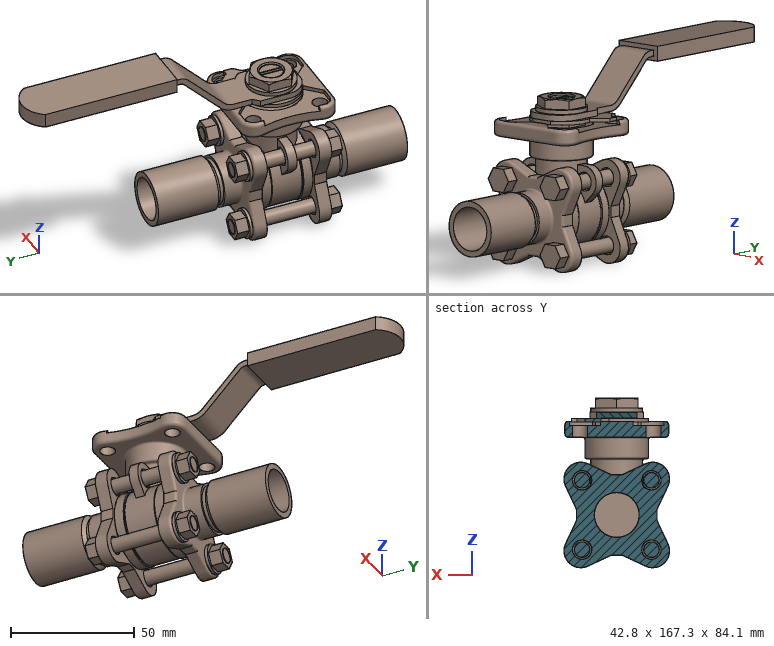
import cadquery as cq
import math


PIPE_HALF_LENGTH = 55.7
PIPE_DIAMETER = 23.0
PIPE_BORE = 18.0
PIPE_START = 28.8
GROOVE_DIAMETER = 19.5
GROOVE_START = 25.8
GROOVE_END = 27.3
HUB_DIAMETER = 21.7
HUB_FILLET = 0.8

FLANGE_INNER = 11.7
FLANGE_THICKNESS = 5.9
FLANGE_OUTER = FLANGE_INNER + FLANGE_THICKNESS
FLANGE_FILLET = 1.2
FLANGE_HALF_SIZE = 21.4
LUG_RADIUS = 6.9
LUG_OFFSET = FLANGE_HALF_SIZE - LUG_RADIUS
WAIST = 16.4
WAIST_HALF_WIDTH = 2.3

CORE_DIAMETER = 30.1
BARREL_DIAMETER = 31.1
BARREL_HALF_LENGTH = 6.7
SEAT_RING_START = 7.2
SEAT_RING_END = 11.2
SEAT_RING_DIAMETER = 31.8

BOLT_OFFSET = 14.0
BOLT_DIAMETER = 6.4
BOLT_HOLE = 7.7
HEX_CORNERS = 11.0
HEAD_HEIGHT = 5.2
WASHER_DIAMETER = 12.7
WASHER_THICKNESS = 1.3
BOLT_TIP = 0.3

EAR_THICKNESS = 4.0
EAR_RADIUS = 6.5
EAR_FOOT = (14.5, 5.4)

NECK_DIAMETER = 21.0
COLLAR_DIAMETER = 26.0
COLLAR_BOTTOM = 22.8
NECK_FILLET = 0.8
PLATE_BOTTOM = 31.5
PLATE_FLOOR = 36.3
PLATE_TOP = 38.0
PLATE_HALF_SIZE = 21.0
PLATE_CORNER_RADIUS = 6.2
PLATE_FILLET = 1.5
PLATE_HOLE = 6.4
PLATE_HOLE_OFFSET = PLATE_HALF_SIZE - PLATE_CORNER_RADIUS
SIDE_WAIST = 18.9
RECESS_DIAMETER = 25.8
RECESS_BOTTOM = PLATE_FLOOR - 0.5
RIM_INNER = 19.0
RIM_END = 12.4

BLOCK_INNER = 12.7
BLOCK_INNER_HALF_WIDTH = 3.5

STOP_BOTTOM = 37.6
STOP_FLAT = 12.0
STOP_ARM_REACH = 18.4
STOP_ARM_ROOT = 8.9
STOP_ARM_EDGE = 12.7
STOP_ARM_CHAMFER = 3.3

LEVER_BOTTOM = 39.1
LEVER_THICKNESS = 2.5
LEVER_TOP = LEVER_BOTTOM + LEVER_THICKNESS
LEVER_WIDTH = 16.5
LEVER_RISE = 19.2
LEVER_ANGLE = math.radians(45)
LEVER_BEND_START = 20.5
LOWER_BEND_RADIUS = 7.5
UPPER_BEND_RADIUS = 4.5
LEVER_END = 103.7
HUB_WIDTH = 21.7
HUB_TIP = 12.0
HUB_CORNER_RADIUS = 8.9
HUB_SHOULDER = 12.4
STEM_DIAMETER = 15.0

GRIP_START = 46.8
OVERALL_LENGTH = 167.3
GRIP_END = OVERALL_LENGTH - PIPE_HALF_LENGTH
GRIP_WIDTH = 20.7
GRIP_HEIGHT = 6.2
GRIP_TOP = 62.7
GRIP_TIP_RISE = 5.9

WASHER_TOP = 43.3
STEM_WASHER_DIAMETER = 21.0
NUT_FLATS = 17.2
NUT_CORNERS = NUT_FLATS / math.cos(math.radians(30))
NUT_TOP = 47.3
NUT_CONE_HEIGHT = 0.5
COUNTERSINK_DIAMETER = 11.0
COUNTERSINK_DEPTH = 0.8
STEM_TIP_DIAMETER = 9.9
STEM_TIP_TOP = NUT_TOP - 0.5
SLOT_WIDTH = 1.5
SLOT_DEPTH = 0.3


def y_cylinder(diameter, start, end, x=0, z=0):
    """Cylinder along Y from start to end, with its axis at x, z."""
    disc = cq.Workplane("XZ", origin=(x, start, z)).circle(diameter / 2)
    return disc.extrude(start - end)


def z_cylinder(diameter, bottom, top):
    return cq.Workplane("XY", origin=(0, 0, bottom)).circle(diameter / 2).extrude(top - bottom)


def z_cone(bottom_diameter, top_diameter, bottom, top):
    base = cq.Workplane("XY", origin=(0, 0, bottom)).circle(bottom_diameter / 2)
    return base.workplane(offset=top - bottom).circle(top_diameter / 2).loft()


def tangent_point(centre, radius, outside, side):
    """Point where a line from `outside` touches a circle; side is +1 or -1."""
    dx = outside[0] - centre[0]
    dy = outside[1] - centre[1]
    angle = math.atan2(dy, dx) + side * math.acos(radius / math.hypot(dx, dy))
    return centre[0] + radius * math.cos(angle), centre[1] + radius * math.sin(angle)


def mirrored_pair(make_feature):
    """A feature at -Y together with its mirror image at +Y."""
    feature = make_feature()
    return feature.union(feature.mirror("XZ"))


def flange_outline():
    """Four round lugs joined by straight flanks to four short waist flats."""
    waist = (WAIST, WAIST_HALF_WIDTH)
    lug = (LUG_OFFSET, LUG_OFFSET)
    low = tangent_point(lug, LUG_RADIUS, waist, 1)
    tip = LUG_OFFSET + LUG_RADIUS / math.sqrt(2)
    corner = [waist, low, (tip, tip), low[::-1], waist[::-1]]

    def turned(point, quarter):
        for _ in range(quarter):
            point = (-point[1], point[0])
        return point

    outline = cq.Workplane("XZ", origin=(0, -FLANGE_INNER, 0)).moveTo(WAIST, -WAIST_HALF_WIDTH)
    for quarter in range(4):
        start, arc_start, arc_middle, arc_end, finish = [turned(p, quarter) for p in corner]
        outline = outline.lineTo(*start).lineTo(*arc_start)
        outline = outline.threePointArc(arc_middle, arc_end).lineTo(*finish)
    return outline.close()


def pipe_end():
    """Flange, hub, groove and weld pipe at -Y."""
    flange = flange_outline().extrude(FLANGE_THICKNESS).faces("<Y").edges().fillet(FLANGE_FILLET)
    hub_radius = HUB_DIAMETER / 2
    groove_radius = GROOVE_DIAMETER / 2
    pipe_radius = PIPE_DIAMETER / 2
    run = (
        cq.Workplane("XY")
        .moveTo(0, -FLANGE_INNER)
        .lineTo(hub_radius + HUB_FILLET, -FLANGE_INNER)
        .lineTo(hub_radius + HUB_FILLET, -FLANGE_OUTER)
        .radiusArc((hub_radius, -FLANGE_OUTER - HUB_FILLET), -HUB_FILLET)
        .lineTo(hub_radius, -GROOVE_START)
        .lineTo(groove_radius, -GROOVE_START)
        .lineTo(groove_radius, -GROOVE_END)
        .lineTo(pipe_radius, -PIPE_START)
        .lineTo(pipe_radius, -PIPE_HALF_LENGTH)
        .lineTo(0, -PIPE_HALF_LENGTH)
        .close()
        .revolve(360, (0, 0, 0), (0, 1, 0))
    )
    end = flange.union(run).cut(y_cylinder(PIPE_BORE, -PIPE_HALF_LENGTH, -FLANGE_INNER))
    for x in (-BOLT_OFFSET, BOLT_OFFSET):
        for z in (-BOLT_OFFSET, BOLT_OFFSET):
            end = end.cut(y_cylinder(BOLT_HOLE, -FLANGE_OUTER, -FLANGE_INNER, x, z))
    return end


def barrel():
    """Core from flange to flange, thickened in the middle and by a seat ring near each end."""
    core = y_cylinder(CORE_DIAMETER, -FLANGE_INNER, FLANGE_INNER)
    bands = (
        (SEAT_RING_DIAMETER, -SEAT_RING_END, -SEAT_RING_START),
        (BARREL_DIAMETER, -BARREL_HALF_LENGTH, BARREL_HALF_LENGTH),
        (SEAT_RING_DIAMETER, SEAT_RING_START, SEAT_RING_END),
    )
    for diameter, start, end in bands:
        core = core.union(y_cylinder(diameter, start, end))
    return core


def ear():
    """Ear around the upper +X bolt: flat top running into the neck, 45 degree underside."""
    top = BOLT_OFFSET + EAR_RADIUS
    low = EAR_RADIUS / math.sqrt(2)
    return (
        cq.Workplane("XZ", origin=(0, EAR_THICKNESS / 2, 0))
        .lineTo(*EAR_FOOT)
        .lineTo(BOLT_OFFSET + low, BOLT_OFFSET - low)
        .threePointArc((BOLT_OFFSET + low, BOLT_OFFSET + low), (BOLT_OFFSET, top))
        .lineTo(0, top)
        .close()
        .extrude(EAR_THICKNESS)
        .cut(y_cylinder(BOLT_HOLE, -EAR_THICKNESS, EAR_THICKNESS, BOLT_OFFSET, BOLT_OFFSET))
    )


def bolt(x, z):
    """Bolt with its head at -Y and its washer and nut at +Y."""
    washer_end = FLANGE_OUTER + WASHER_THICKNESS
    nut_end = washer_end + HEAD_HEIGHT
    shank = y_cylinder(BOLT_DIAMETER, -FLANGE_OUTER, washer_end, x, z)
    washer = y_cylinder(WASHER_DIAMETER, FLANGE_OUTER, washer_end, x, z)
    tip = y_cylinder(BOLT_DIAMETER, nut_end, nut_end + BOLT_TIP, x, z)
    whole = shank.union(washer).union(tip)
    for base in (-FLANGE_OUTER, nut_end):
        hexagon = cq.Workplane("XZ", origin=(x, base, z)).polygon(6, HEX_CORNERS)
        whole = whole.union(hexagon.extrude(HEAD_HEIGHT))
    return whole


def neck():
    """Neck and collar carrying the mounting plate."""
    neck_radius = NECK_DIAMETER / 2
    collar_radius = COLLAR_DIAMETER / 2
    return (
        cq.Workplane("XZ")
        .lineTo(neck_radius, 0)
        .lineTo(neck_radius, COLLAR_BOTTOM - NECK_FILLET)
        .radiusArc((neck_radius + NECK_FILLET, COLLAR_BOTTOM), NECK_FILLET)
        .lineTo(collar_radius - NECK_FILLET, COLLAR_BOTTOM)
        .radiusArc((collar_radius, COLLAR_BOTTOM + NECK_FILLET), -NECK_FILLET)
        .lineTo(collar_radius, PLATE_BOTTOM - NECK_FILLET)
        .radiusArc((collar_radius + NECK_FILLET, PLATE_BOTTOM), NECK_FILLET)
        .lineTo(collar_radius + NECK_FILLET, PLATE_FLOOR)
        .lineTo(0, PLATE_FLOOR)
        .close()
        .revolve(360, (0, 0, 0), (0, 1, 0))
    )


def rounded_square(half_size, corner_radius, bottom, top):
    block = cq.Workplane("XY", origin=(0, 0, bottom)).rect(2 * half_size, 2 * half_size)
    return block.extrude(top - bottom).edges("|Z").fillet(corner_radius)


def plate_outline():
    """Square with round corners that run smoothly into inward-curved X sides."""
    centre = PLATE_HOLE_OFFSET
    radius = PLATE_CORNER_RADIUS
    gap = SIDE_WAIST - centre
    side_radius = (gap**2 + centre**2 - radius**2) / (2 * (radius - gap))
    share = radius / (side_radius + radius)
    join_x = centre + share * (gap + side_radius)
    join_y = centre * (1 - share)
    middle = centre + radius / math.sqrt(2)
    return (
        cq.Workplane("XY", origin=(0, 0, PLATE_BOTTOM))
        .moveTo(-centre, -PLATE_HALF_SIZE)
        .lineTo(centre, -PLATE_HALF_SIZE)
        .threePointArc((middle, -middle), (join_x, -join_y))
        .threePointArc((SIDE_WAIST, 0), (join_x, join_y))
        .threePointArc((middle, middle), (centre, PLATE_HALF_SIZE))
        .lineTo(-centre, PLATE_HALF_SIZE)
        .threePointArc((-middle, middle), (-join_x, join_y))
        .threePointArc((-SIDE_WAIST, 0), (-join_x, -join_y))
        .threePointArc((-middle, -middle), (-centre, -PLATE_HALF_SIZE))
        .close()
    )


def plate():
    """Square plate with curved-in X sides and a rim round the corners and Y sides."""
    height = PLATE_TOP - PLATE_BOTTOM
    whole = plate_outline().extrude(height)
    whole = whole.faces("<Z or >Z").edges().fillet(PLATE_FILLET)

    rim_corner_radius = PLATE_CORNER_RADIUS - (PLATE_HALF_SIZE - RIM_INNER)
    floor = rounded_square(RIM_INNER, rim_corner_radius, PLATE_FLOOR, PLATE_TOP)
    openings = (
        cq.Workplane("XY", origin=(0, 0, PLATE_FLOOR))
        .rect(2 * PLATE_HALF_SIZE, 2 * RIM_END)
        .extrude(PLATE_TOP - PLATE_FLOOR)
    )
    whole = whole.cut(floor).cut(openings)

    holes = (
        cq.Workplane("XY", origin=(0, 0, PLATE_BOTTOM))
        .rect(2 * PLATE_HOLE_OFFSET, 2 * PLATE_HOLE_OFFSET, forConstruction=True)
        .vertices()
        .circle(PLATE_HOLE / 2)
        .extrude(height)
    )
    return whole.cut(holes)


def floor_recess():
    return z_cylinder(RECESS_DIAMETER, RECESS_BOTTOM, PLATE_FLOOR)


def stop_block():
    """Fixed stop with 45 degree flanks, reaching from the stop disc to the rim at -Y."""
    outer_half_width = BLOCK_INNER_HALF_WIDTH + RIM_INNER - BLOCK_INNER
    return (
        cq.Workplane("XY", origin=(0, 0, PLATE_FLOOR))
        .moveTo(-BLOCK_INNER_HALF_WIDTH, -BLOCK_INNER)
        .lineTo(BLOCK_INNER_HALF_WIDTH, -BLOCK_INNER)
        .lineTo(outer_half_width, -RIM_INNER)
        .lineTo(-outer_half_width, -RIM_INNER)
        .close()
        .extrude(PLATE_TOP - PLATE_FLOOR)
    )


def stop_disc():
    """Disc with a flat at -Y and a two-armed tab towards the +X, +Y corner."""
    thickness = LEVER_BOTTOM - STOP_BOTTOM
    disc = z_cylinder(COLLAR_DIAMETER, STOP_BOTTOM, LEVER_BOTTOM)
    flat_cut = (
        cq.Workplane("XY", origin=(0, -STOP_FLAT - COLLAR_DIAMETER / 2, STOP_BOTTOM))
        .rect(COLLAR_DIAMETER, COLLAR_DIAMETER)
        .extrude(thickness)
    )
    root = STOP_ARM_REACH - STOP_ARM_ROOT
    tab = (
        cq.Workplane("XY", origin=(0, 0, STOP_BOTTOM))
        .polyline([
            (0, 0),
            (root, 0),
            (STOP_ARM_REACH, STOP_ARM_ROOT),
            (STOP_ARM_REACH, STOP_ARM_EDGE),
            (STOP_ARM_EDGE + STOP_ARM_CHAMFER, STOP_ARM_EDGE),
            (STOP_ARM_EDGE, STOP_ARM_EDGE + STOP_ARM_CHAMFER),
            (STOP_ARM_EDGE, STOP_ARM_REACH),
            (STOP_ARM_ROOT, STOP_ARM_REACH),
            (0, root),
        ])
        .close()
        .extrude(thickness)
    )
    return disc.cut(flat_cut).union(tab)


def nut_hexagon(bottom, top):
    """Hexagon with two corners on the Y axis."""
    hexagon = cq.Workplane("XY", origin=(0, 0, bottom)).polygon(6, NUT_CORNERS)
    return hexagon.extrude(top - bottom).rotate((0, 0, 0), (0, 0, 1), 90)


def stem():
    """Stem with its lower nut, stop disc, washer and chamfered top nut."""
    cone_bottom = NUT_TOP - NUT_CONE_HEIGHT
    nut_blank = z_cylinder(NUT_CORNERS, WASHER_TOP, cone_bottom)
    nut_blank = nut_blank.union(z_cone(NUT_CORNERS, NUT_FLATS, cone_bottom, NUT_TOP))
    countersink_bottom = NUT_TOP - COUNTERSINK_DEPTH
    countersink = z_cone(STEM_TIP_DIAMETER, COUNTERSINK_DIAMETER, countersink_bottom, NUT_TOP)
    top_nut = nut_hexagon(WASHER_TOP, NUT_TOP).intersect(nut_blank).cut(countersink)
    stem_tip = z_cylinder(STEM_TIP_DIAMETER, countersink_bottom, STEM_TIP_TOP)
    slot = (
        cq.Workplane("XY", origin=(0, 0, STEM_TIP_TOP - SLOT_DEPTH))
        .rect(SLOT_WIDTH, STEM_TIP_DIAMETER)
        .extrude(SLOT_DEPTH)
    )
    return (
        z_cylinder(STEM_DIAMETER, RECESS_BOTTOM, WASHER_TOP)
        .union(nut_hexagon(RECESS_BOTTOM, STOP_BOTTOM))
        .union(stop_disc())
        .union(z_cylinder(STEM_WASHER_DIAMETER, LEVER_TOP, WASHER_TOP))
        .union(top_nut)
        .union(stem_tip.cut(slot))
    )


def make_valve():
    """Pipe ends, barrel, plate, stem and bolts as one solid."""
    valve = mirrored_pair(pipe_end).union(barrel())
    for x_ear in (ear(), ear().mirror("YZ")):
        valve = valve.union(x_ear)
    valve = valve.union(neck()).union(plate()).cut(floor_recess())
    valve = valve.union(mirrored_pair(stop_block)).union(stem())
    for x in (-BOLT_OFFSET, BOLT_OFFSET):
        for z in (-BOLT_OFFSET, BOLT_OFFSET):
            valve = valve.union(bolt(x, z))
    return valve


def lever_hub():
    """Flat end of the lever with rounded tip corners and 45 degree shoulders."""
    half_width = HUB_WIDTH / 2
    half_bar = LEVER_WIDTH / 2
    outline = (
        cq.Workplane("XY", origin=(0, 0, LEVER_BOTTOM))
        .polyline([
            (-half_width, -HUB_TIP),
            (half_width, -HUB_TIP),
            (half_width, HUB_SHOULDER - (half_width - half_bar)),
            (half_bar, HUB_SHOULDER),
            (-half_bar, HUB_SHOULDER),
            (-half_width, HUB_SHOULDER - (half_width - half_bar)),
        ])
        .close()
        .extrude(LEVER_THICKNESS)
    )
    return outline.edges("|Z and <Y").fillet(HUB_CORNER_RADIUS)


def lever_bar():
    """Bar of constant section following the two bends up to the grip."""
    mid_height = LEVER_BOTTOM + LEVER_THICKNESS / 2
    bend_run = math.sin(LEVER_ANGLE)
    bend_rise = 1 - math.cos(LEVER_ANGLE)
    slope_start = (
        LEVER_BEND_START + LOWER_BEND_RADIUS * bend_run,
        mid_height + LOWER_BEND_RADIUS * bend_rise,
    )
    slope_top = mid_height + LEVER_RISE - UPPER_BEND_RADIUS * bend_rise
    slope_end = (
        slope_start[0] + (slope_top - slope_start[1]) / math.tan(LEVER_ANGLE),
        slope_top,
    )
    upper_start = (slope_end[0] + UPPER_BEND_RADIUS * bend_run, mid_height + LEVER_RISE)
    path = (
        cq.Workplane("YZ")
        .moveTo(0, mid_height)
        .lineTo(LEVER_BEND_START, mid_height)
        .tangentArcPoint(slope_start, relative=False)
        .lineTo(*slope_end)
        .tangentArcPoint(upper_start, relative=False)
        .lineTo(LEVER_END, mid_height + LEVER_RISE)
    )
    section = cq.Workplane("XZ", origin=(0, 0, mid_height)).rect(LEVER_WIDTH, LEVER_THICKNESS)
    return section.sweep(path)


def make_lever():
    """Hub and bar in one piece, with a round hole for the stem."""
    return lever_hub().union(lever_bar()).cut(z_cylinder(STEM_DIAMETER, LEVER_BOTTOM, LEVER_TOP))


def make_grip(lever_body):
    """Sleeve with an arched tip, hollowed to fit the lever."""
    half_width = GRIP_WIDTH / 2
    arch_start = GRIP_END - GRIP_TIP_RISE
    sleeve = (
        cq.Workplane("XY", origin=(0, 0, GRIP_TOP - GRIP_HEIGHT))
        .moveTo(-half_width, GRIP_START)
        .lineTo(half_width, GRIP_START)
        .lineTo(half_width, arch_start)
        .threePointArc((0, GRIP_END), (-half_width, arch_start))
        .close()
        .extrude(GRIP_HEIGHT)
    )
    return sleeve.cut(lever_body)


valve = make_valve()
lever = make_lever()
grip = make_grip(lever)

result = cq.Compound.makeCompound([
    *valve.solids().vals(),
    *lever.solids().vals(),
    *grip.solids().vals(),
])